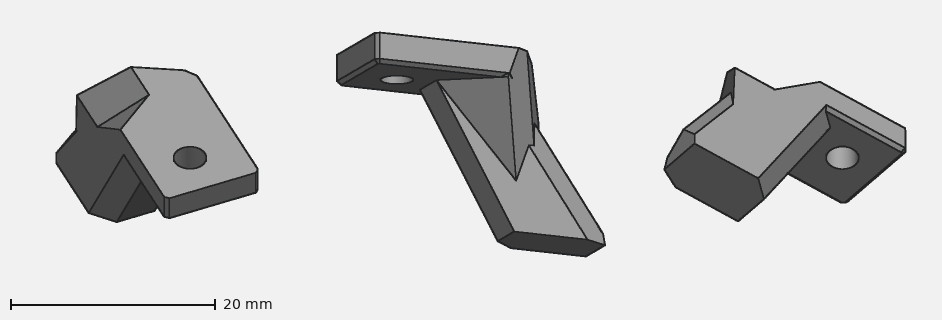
import cadquery as cq

length = 26.7
width = 10.0
height = 17.45

plate_thickness = 3.05
plate_bottom = height - plate_thickness
plate_chamfer = 0.4
hole_diameter = 3.2
hole_x = 22.13
hole_y = 4.6

leg_width = 6.03
foot_front_x = 7.95
foot_back_x = 10.25
leg_bevel_y = 1.98
leg_lean = 0.575

ridge_run = 0.705
ridge_start_y = 1.73
ridge_end_y = 4.27
ridge_low_z = 1.25
ridge_peak_z = 3.18
ridge_back_z = -3.47

end_foot_x = 4.5
end_run_y = 0.55
end_run_z = 0.04

facet_top_x = 11.5
facet_slope_x = 0.67
facet_slope_z = 0.244

gusset_bottom = 5.15

cut_depth_y = 4.6
cut_bottom = 13.13
cut_front_x = 10.05
cut_back_x = 12.15
cut_corner_x = 15.67

margin = 16.01


def slanted_prism(points, sweep):
    """Sweep a closed flat outline along a straight, possibly oblique, vector."""
    outline = cq.Wire.makePolygon([cq.Vector(*p) for p in points], close=True)
    return cq.Workplane(cq.Solid.extrudeLinear(outline, [], cq.Vector(*sweep)))


def polyhedron(points, faces):
    """Solid with flat faces, each listed by the indices of its corners."""
    shell_faces = []
    for face in faces:
        corners = [cq.Vector(*points[i]) for i in face]
        outline = cq.Wire.makePolygon(corners, close=True)
        shell_faces.append(cq.Face.makeFromWires(outline))
    return cq.Workplane(cq.Solid.makeSolid(cq.Shell.makeShell(shell_faces)))


def facet_x(y, z):
    """X of the slanted back facet at a given Y and Z."""
    return facet_top_x + (y - width + facet_slope_z * (height - z)) / facet_slope_x


def make_leg_envelope():
    """Full-height block bounded by the leg's slanted underside."""
    plan = [
        (-margin, 0, 0),
        (foot_front_x, 0, 0),
        (foot_back_x, leg_bevel_y, 0),
        (foot_back_x, leg_width, 0),
        (-margin, leg_width, 0),
    ]
    return slanted_prism(plan, (leg_lean * height, 0, height))


def make_ridged_leg(envelope):
    section = [
        (0, 0, -2 * margin),
        (0, 0, ridge_low_z),
        (0, ridge_start_y, ridge_peak_z),
        (0, ridge_end_y, ridge_low_z),
        (0, leg_width, ridge_back_z),
        (0, leg_width, -2 * margin),
    ]
    ridge = slanted_prism(section, (margin, 0, margin / ridge_run))
    return ridge.intersect(envelope)


def make_plate():
    plate = cq.Workplane().box(length, width, plate_thickness, centered=False)
    plate = plate.translate((0, 0, plate_bottom))
    plate = plate.edges("|Z and >X").chamfer(plate_chamfer)
    return plate.faces("<Z").chamfer(plate_chamfer)


def make_gusset():
    left_x = facet_x(leg_width, plate_bottom)
    right_x = foot_back_x + leg_lean * plate_bottom
    tip = (facet_x(leg_width, gusset_bottom), leg_width, gusset_bottom)
    roof = [
        (facet_x(width, plate_bottom), width, plate_bottom),
        (right_x, leg_width, plate_bottom),
        (left_x, leg_width, plate_bottom),
    ]
    wedge = polyhedron([tip] + roof, [(0, 1, 2), (0, 2, 3), (0, 3, 1), (1, 3, 2)])
    return wedge.union(slanted_prism(roof, (0, 0, plate_thickness)))


def make_end_cutter():
    """Everything to the left of the body's slanted end face."""
    plan = [
        (end_foot_x - end_run_y * margin, -margin, 0),
        (end_foot_x + end_run_y * margin, margin, 0),
        (-2 * margin, margin, 0),
        (-2 * margin, -margin, 0),
    ]
    return slanted_prism(plan, (end_run_z * 2 * height, 0, 2 * height))


def make_facet_cutter():
    """Everything behind the slanted facet on the back left side."""
    plan = [
        (facet_x(-margin, 0), -margin, 0),
        (facet_x(2 * margin, 0), 2 * margin, 0),
        (-3 * margin, 2 * margin, 0),
        (-3 * margin, -margin, 0),
    ]
    run = -facet_slope_z / facet_slope_x
    return slanted_prism(plan, (run * 2 * height, 0, 2 * height))


def make_edge_cutter():
    """Wedge removed from the top front edge, with an oblique right end."""
    points = [
        (0, 0, cut_bottom),
        (0, 0, height),
        (0, cut_depth_y, height),
        (cut_front_x, 0, cut_bottom),
        (cut_corner_x, 0, height),
        (cut_back_x, cut_depth_y, height),
    ]
    faces = [(0, 1, 2), (3, 5, 4), (0, 3, 4, 1), (1, 4, 5, 2), (0, 2, 5, 3)]
    return polyhedron(points, faces)


leg_envelope = make_leg_envelope()

body = leg_envelope.union(make_plate()).union(make_gusset())
body = body.cut(make_end_cutter()).cut(make_facet_cutter())

hole = (
    cq.Workplane(origin=(hole_x, hole_y, plate_bottom))
    .circle(hole_diameter / 2)
    .extrude(plate_thickness)
)

result = body.union(make_ridged_leg(leg_envelope))
result = result.cut(make_edge_cutter()).cut(hole).clean()